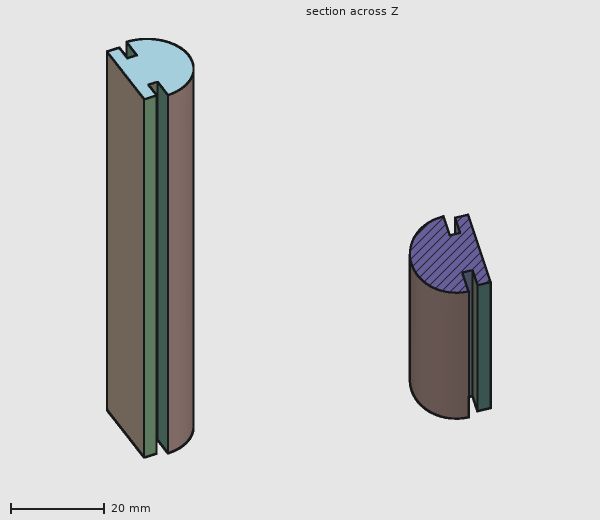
import cadquery as cq

length = 100.0
head_radius = 10.0
total_depth = 15.2
neck_width = 10.0
flange_width = 18.0
flange_thickness = 3.0
groove_height = 2.2

flange_front = head_radius - total_depth
flange_back = flange_front + flange_thickness
head_front = flange_back + groove_height

profile = (
    cq.Workplane("XY")
    .moveTo(-head_radius, head_front)
    .threePointArc((0, head_radius), (head_radius, head_front))
    .lineTo(neck_width / 2, head_front)
    .lineTo(neck_width / 2, flange_back)
    .lineTo(flange_width / 2, flange_back)
    .lineTo(flange_width / 2, flange_front)
    .lineTo(-flange_width / 2, flange_front)
    .lineTo(-flange_width / 2, flange_back)
    .lineTo(-neck_width / 2, flange_back)
    .lineTo(-neck_width / 2, head_front)
    .close()
)

result = profile.extrude(length)